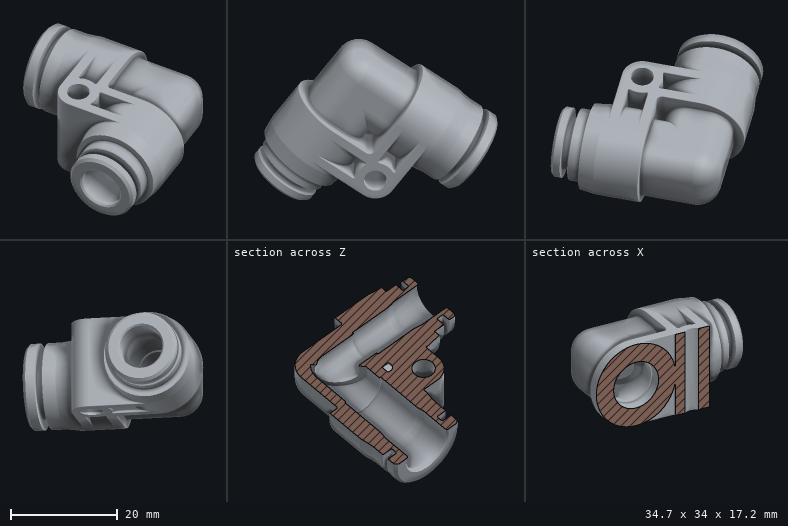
import cadquery as cq


collar_radius = 8.6
collar_inner_end = 8.12
collar_straight_end = 16.7
collar_taper_radius = 8.2
collar_taper_end = 19.67
collar_edge_round = 0.17

wide_length = 26.1
wide_flange_radius = 8.2
wide_flange_start = 23.77
wide_flange_chamfer = 0.6
wide_neck_radius = 6.0
wide_sleeve_end = 22.4
wide_sleeve_radius = collar_taper_radius
wide_bore_radius = 5.05
wide_passage_radius = 4.5

narrow_length = 25.4
narrow_flange_radius = 6.7
narrow_flange_start = 23.55
narrow_flange_chamfer = 0.52
narrow_neck_radius = 4.95
narrow_sleeve_end = 22.1
narrow_sleeve_radius = 6.87
narrow_bore_radius = 4.1
narrow_passage_radius = 3.47

neck_root_round = 0.3
sleeve_edge_chamfer = 0.15
mouth_chamfer = 0.3
bore_depth = 6.35
lead_in_length = 1.75
socket_step = 0.28
socket_bottom = collar_inner_end

elbow_half_width = 6.45
elbow_round = 4.5
elbow_root_round = 0.28

hole_center = -11.97
hole_radius = 2.15
bracket_corner_radius = 3.9
bracket_outer = hole_center - bracket_corner_radius
bracket_inner = -collar_inner_end
rib_thickness = 1.95
pocket_low = bracket_outer + rib_thickness
pocket_high = bracket_inner - rib_thickness
pocket_end = -8.4
pocket_corner_radius = 0.17
bracket_inner_round = 1.05
bracket_edge_round = 0.17
web_thickness = rib_thickness

SIZE_LIMIT = 2 * wide_length
OVERLAP = 0.35
SELECT_MARGIN = 0.05


def to_narrow_branch(solid):
    """Turn a solid made along -X about the diagonal X = Y, which lays it along -Y."""
    return solid.rotate((0, 0, 0), (1, 1, 0), 180)


def revolve_about_x(profile):
    return profile.close().revolve(360, (0, 0, 0), (1, 0, 0))


def make_collar():
    profile = (
        cq.Workplane("XY")
        .moveTo(-collar_inner_end, 0)
        .lineTo(-collar_inner_end, collar_radius - collar_edge_round)
        .radiusArc(
            (-collar_inner_end - collar_edge_round, collar_radius),
            -collar_edge_round,
        )
        .lineTo(-collar_straight_end, collar_radius)
        .lineTo(-collar_taper_end, collar_taper_radius)
        .lineTo(-collar_taper_end, 0)
    )
    return revolve_about_x(profile)


def make_sleeve(
    length,
    flange_radius,
    flange_start,
    flange_chamfer,
    neck_radius,
    sleeve_end,
    sleeve_radius,
):
    """Release sleeve: a cylinder, a narrow neck and a chamfered flange at the mouth."""
    profile = (
        cq.Workplane("XY")
        .moveTo(-collar_straight_end, 0)
        .lineTo(-collar_straight_end, neck_radius)
        .lineTo(-collar_taper_end, sleeve_radius)
        .lineTo(-sleeve_end + sleeve_edge_chamfer, sleeve_radius)
        .lineTo(-sleeve_end, sleeve_radius - sleeve_edge_chamfer)
        .lineTo(-sleeve_end, neck_radius)
        .lineTo(-flange_start + neck_root_round, neck_radius)
        .radiusArc((-flange_start, neck_radius + neck_root_round), neck_root_round)
        .lineTo(-flange_start, flange_radius)
        .lineTo(-length + flange_chamfer, flange_radius)
        .lineTo(-length, flange_radius - flange_chamfer)
        .lineTo(-length, 0)
    )
    return revolve_about_x(profile)


def make_bore(length, bore_radius, passage_radius):
    """Tube bore with a chamfered mouth, a tapered lead-in, a socket and the flow passage."""
    socket_radius = bore_radius - socket_step
    profile = (
        cq.Workplane("XY")
        .moveTo(-length, 0)
        .lineTo(-length, bore_radius + mouth_chamfer)
        .lineTo(-length + mouth_chamfer, bore_radius)
        .lineTo(-length + bore_depth, bore_radius)
        .lineTo(-length + bore_depth + lead_in_length, socket_radius)
        .lineTo(-socket_bottom, socket_radius)
        .lineTo(-socket_bottom, passage_radius)
        .lineTo(0, passage_radius)
        .radiusArc((passage_radius, 0), passage_radius)
    )
    miter_side = (
        cq.Workplane("XY")
        .polyline([(-SIZE_LIMIT, -SIZE_LIMIT), (SIZE_LIMIT, SIZE_LIMIT), (-SIZE_LIMIT, SIZE_LIMIT)])
        .close()
        .extrude(collar_radius, both=True)
    )
    return revolve_about_x(profile).intersect(miter_side)


def make_elbow_leg():
    leg_length = elbow_half_width + collar_inner_end
    leg_size = 2 * elbow_half_width
    leg = (
        cq.Workplane("XY")
        .box(leg_length, leg_size, leg_size)
        .translate((elbow_half_width - leg_length / 2, 0, 0))
    )
    return leg.edges("not(<X)").fillet(elbow_round)


def make_pocket():
    """Opening between the two ribs of the -X branch, bounded below by the round boss."""
    pocket = (
        cq.Workplane("XY")
        .moveTo(pocket_low, pocket_end)
        .lineTo(pocket_high, pocket_end)
        .lineTo(pocket_high, OVERLAP)
        .lineTo(pocket_low, OVERLAP)
        .close()
        .extrude(collar_radius, both=True)
    )
    boss = (
        cq.Workplane("XY")
        .center(hole_center, hole_center)
        .circle(bracket_corner_radius)
        .extrude(collar_radius, both=True)
    )
    return pocket.edges("|Z and <Y").fillet(pocket_corner_radius).cut(boss)


def make_bracket():
    bracket = (
        cq.Workplane("XY")
        .moveTo(bracket_outer, 0)
        .lineTo(bracket_outer, hole_center)
        .radiusArc((hole_center, bracket_outer), -bracket_corner_radius)
        .lineTo(0, bracket_outer)
        .lineTo(0, bracket_inner)
        .lineTo(bracket_inner + bracket_inner_round, bracket_inner)
        .radiusArc((bracket_inner, bracket_inner + bracket_inner_round), bracket_inner_round)
        .lineTo(bracket_inner, 0)
        .close()
        .extrude(collar_radius, both=True)
    )
    pocket = make_pocket()
    bracket = bracket.cut(pocket).cut(to_narrow_branch(pocket))

    rim_region = cq.selectors.BoxSelector(
        (-SIZE_LIMIT, -SIZE_LIMIT, -SIZE_LIMIT),
        (-SELECT_MARGIN, -SELECT_MARGIN, SIZE_LIMIT),
    )
    return bracket.faces("|Z").edges(rim_region).fillet(bracket_edge_round)


def make_web():
    """Thin wall at mid height that closes the gap between the bracket and the elbow."""
    web_low = -collar_inner_end - bracket_inner_round / 2
    web_high = -elbow_half_width + OVERLAP
    web_size = web_high - web_low
    web_center = (web_low + web_high) / 2
    return cq.Workplane("XY").box(web_size, web_size, web_thickness).translate((web_center, web_center, 0))


def make_mounting_hole():
    return (
        cq.Workplane("XY")
        .center(hole_center, hole_center)
        .circle(hole_radius)
        .extrude(collar_radius, both=True)
    )


def make_branch_body():
    """Elbow leg and collar of one branch, with the step between them rounded."""
    branch = make_elbow_leg().union(make_collar())
    step_reach = elbow_half_width + OVERLAP
    step_edges = cq.selectors.BoxSelector(
        (-collar_inner_end - SELECT_MARGIN, -step_reach, -step_reach),
        (-collar_inner_end + SELECT_MARGIN, step_reach, step_reach),
        boundingbox=True,
    )
    return branch.edges(step_edges).fillet(elbow_root_round)


wide_sleeve = make_sleeve(
    wide_length,
    wide_flange_radius,
    wide_flange_start,
    wide_flange_chamfer,
    wide_neck_radius,
    wide_sleeve_end,
    wide_sleeve_radius,
)
narrow_sleeve = make_sleeve(
    narrow_length,
    narrow_flange_radius,
    narrow_flange_start,
    narrow_flange_chamfer,
    narrow_neck_radius,
    narrow_sleeve_end,
    narrow_sleeve_radius,
)
wide_bore = make_bore(wide_length, wide_bore_radius, wide_passage_radius)
narrow_bore = make_bore(narrow_length, narrow_bore_radius, narrow_passage_radius)

branch_body = make_branch_body()
body = branch_body.union(to_narrow_branch(branch_body))
body = body.union(make_bracket()).union(make_web())
body = body.union(wide_sleeve).union(to_narrow_branch(narrow_sleeve))
body = body.cut(wide_bore).cut(to_narrow_branch(narrow_bore))
result = body.cut(make_mounting_hole())